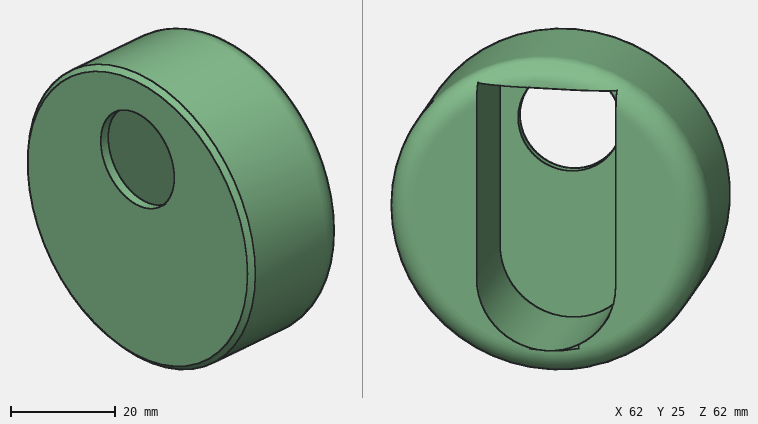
import cadquery as cq

outer_diameter = 62.0
depth = 25.0
back_fillet = 4.95
front_chamfer = 1.05
hole_diameter = 20.0
hole_height = 13.0
front_wall = 2.0
pocket_width = 27.05

front_y = -depth / 2
flat_radius = outer_diameter / 2 - back_fillet
pocket_end_radius = pocket_width / 2
straight_bottom = pocket_end_radius - flat_radius
pocket_depth = depth - front_wall


def make_body():
    """Solid disc, rounded at the back rim and chamfered at the front rim."""
    disc = cq.Workplane("XZ").circle(outer_diameter / 2).extrude(depth / 2, both=True)
    return disc.faces(">Y").edges().fillet(back_fillet).faces("<Y").edges().chamfer(front_chamfer)


def make_pocket():
    """Recess open at the back, square at the top and semicircular at the bottom."""
    outline = (
        cq.Workplane("XZ", origin=(0, front_y + front_wall, 0))
        .moveTo(-pocket_end_radius, straight_bottom)
        .lineTo(-pocket_end_radius, flat_radius)
        .lineTo(pocket_end_radius, flat_radius)
        .lineTo(pocket_end_radius, straight_bottom)
        .threePointArc((0, -flat_radius), (-pocket_end_radius, straight_bottom))
        .close()
    )
    return outline.extrude(-pocket_depth)


def make_hole():
    """Round opening through the front wall into the pocket."""
    hole = cq.Workplane("XZ").center(0, hole_height).circle(hole_diameter / 2)
    return hole.extrude(depth / 2, both=True)


result = make_body().cut(make_pocket()).cut(make_hole())